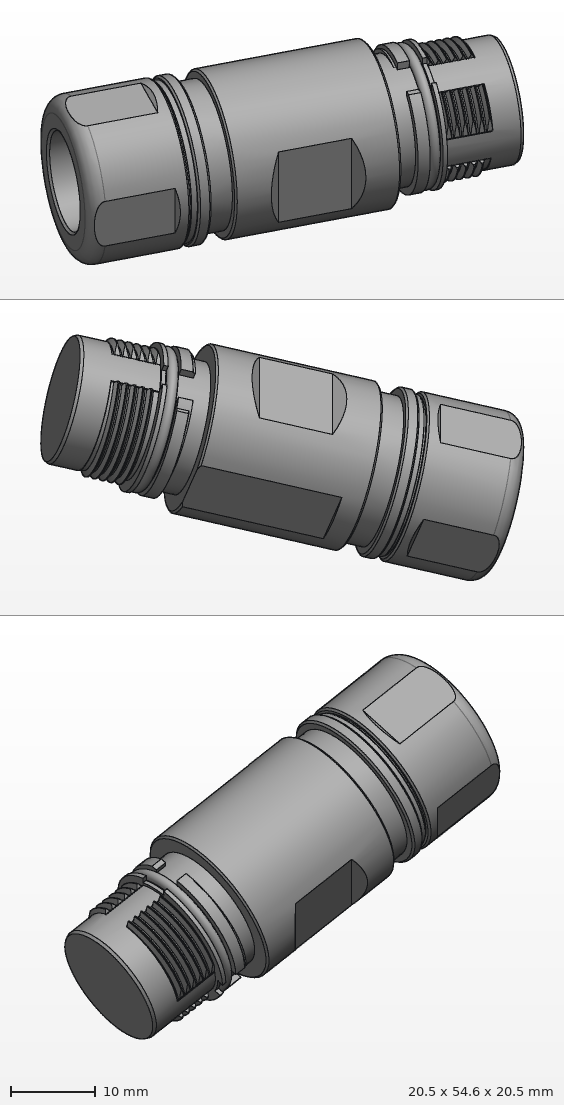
import cadquery as cq
import math

LENGTH = 54.55
OUTER_R = 10.25

NUT_END = 12.45
NUT_ROUND = 2.0
NUT_FLAT_HALF_WIDTH = 3.2
NUT_FLAT_END = 10.65
NUT_FLAT_COUNT = 4
BORE_R = 6.1
BORE_CHAMFER = 0.3
BORE_DEPTH = 4.0

GAP_R = 9.65
GAP_END = 12.7
GROOVE_R = 9.8
COLLAR_START = 13.4
COLLAR_END = 15.05
NECK_R = 9.15
EDGE_BREAK = 0.25

BODY_START = 17.95
BODY_END = 38.55
WRENCH_HALF_WIDTH = 5.05
WRENCH_START = 23.75
WRENCH_END = 32.8
UNDERSIDE_Z = -9.6
UNDERSIDE_START = 20.9

SHOULDER_R = 8.05
RIM_R = 9.02
FLANGE_SLOT_FLOOR_R = 8.2
LIP_R = 8.15
LIP_OFFSET_X = -0.75
LIP_START = 40.7
BAND_START = 41.0
BAND_END = 42.5
BAND_SIDE_LEAD_X = -7.3
BAND_TOP_LEAD_Z = 7.2
FLANGE_START = 44.1
FLANGE_END = 44.65
ORING_Y = (BAND_END + FLANGE_START) / 2
ORING_TUBE_R = 0.7
ORING_RING_R = 8.15
BARREL_R = 7.8
TIP_CHAMFER_LENGTH = 0.4
TIP_CHAMFER_DEPTH = 0.2

THREAD_START = FLANGE_END
THREAD_END = 50.6
THREAD_PITCH = 1.02
THREAD_CREST_R = 8.33
THREAD_ROOT_R = 7.65
THREAD_OVERLAP = 0.1
THREAD_BASE_HALF_WIDTH = 0.47
THREAD_CREST_HALF_WIDTH = 0.06
THREAD_FIRST_CREST_AT_TOP = 45.05
THREAD_SIDE_X = 7.65

TOP_SLOT_X = (1.16, 4.7)
SIDE_SLOT_LOW_Z = -2.74
RIM_SIDE_SLOT_HIGH_Z = 0.0
THREAD_SIDE_SLOT_HIGH_Z = 1.35
BAND_SIDE_SLOT_LOW_Z = -3.7

CLEAR = 2 * OUTER_R
CUTTER_MARGIN = 1.0
LEAD_MARGIN = 0.25


def box(x_range, y_range, z_range):
    """Axis-aligned box given by its (low, high) limits."""
    size = [high - low for low, high in (x_range, y_range, z_range)]
    corner = (x_range[0], y_range[0], z_range[0])
    return cq.Workplane("XY").box(*size, centered=False).translate(corner)


def cylinder(radius, y_low, y_high):
    """Cylinder about the Y axis."""
    plane = cq.Workplane("XZ", origin=(0, y_high, 0))
    return plane.circle(radius).extrude(y_high - y_low)


def cone(low_radius, high_radius, y_low, y_high):
    """Truncated cone about the Y axis."""
    base = cq.Vector(0, y_low, 0)
    solid = cq.Solid.makeCone(low_radius, high_radius, y_high - y_low, base, cq.Vector(0, 1, 0))
    return cq.Workplane(solid)


def ring(outer_radius, inner_radius, y_low, y_high):
    """Tube about the Y axis."""
    return cylinder(outer_radius, y_low, y_high).cut(cylinder(inner_radius, y_low, y_high))


def flat_distance(radius, half_width):
    """Distance from the axis of a flat with the given half width on a cylinder."""
    return math.sqrt(radius**2 - half_width**2)


def flat_cutter(distance, y_low, y_high, ramp_low, ramp_high):
    """Cutter for a flat facing +X, with an optional 45 degree ramp at either end."""
    reach = OUTER_R + CUTTER_MARGIN
    rise = reach - distance
    low_outer = y_low - rise if ramp_low else y_low
    high_outer = y_high + rise if ramp_high else y_high
    profile = [(distance, y_low), (reach, low_outer), (reach, high_outer), (distance, y_high)]
    return cq.Workplane("XY").polyline(profile).close().extrude(OUTER_R, both=True)


def about_axis(shape, angle):
    """Turn a shape about the Y axis."""
    return shape.rotate((0, 0, 0), (0, 1, 0), angle)


def make_nut():
    nut = cylinder(OUTER_R, 0, NUT_END)
    nut = nut.faces("<Y").edges().fillet(NUT_ROUND)
    nut = nut.faces(">Y").edges().chamfer(EDGE_BREAK)
    distance = flat_distance(OUTER_R, NUT_FLAT_HALF_WIDTH)
    cutter = flat_cutter(distance, -CUTTER_MARGIN, NUT_FLAT_END, False, True)
    for index in range(NUT_FLAT_COUNT):
        nut = nut.cut(about_axis(cutter, index * 360 / NUT_FLAT_COUNT))
    return nut


def make_collar():
    gap_floor = cylinder(GAP_R, NUT_END, GAP_END)
    groove_floor = cylinder(GROOVE_R, GAP_END, COLLAR_START)
    collar = cylinder(OUTER_R, COLLAR_START, COLLAR_END).edges().chamfer(EDGE_BREAK)
    neck = cylinder(NECK_R, COLLAR_END, BODY_START)
    return gap_floor.union(groove_floor).union(collar).union(neck)


def make_body():
    body = cylinder(OUTER_R, BODY_START, BODY_END).edges().chamfer(EDGE_BREAK)
    distance = flat_distance(OUTER_R, WRENCH_HALF_WIDTH)
    cutter = flat_cutter(distance, WRENCH_START, WRENCH_END, True, True)
    for angle in (0, 180):
        body = body.cut(about_axis(cutter, angle))
    underside = box((-CLEAR, CLEAR), (UNDERSIDE_START, BODY_END), (-CLEAR, UNDERSIDE_Z))
    return body.cut(underside)


def top_slot(y_low, y_high):
    return box(TOP_SLOT_X, (y_low, y_high), (0, CLEAR))


def side_slot(y_low, y_high, z_low, z_high):
    return box((-CLEAR, 0), (y_low, y_high), (z_low, z_high))


def cut_lead_ins(band):
    """Flat lead-ins on the band just past the side slot and the top slot."""
    side_end_z = -flat_distance(RIM_R, BAND_SIDE_LEAD_X) - LEAD_MARGIN
    top_end_x = flat_distance(RIM_R, BAND_TOP_LEAD_Z) + LEAD_MARGIN
    y_range = (BAND_START, BAND_END)
    band = band.cut(box((-CLEAR, BAND_SIDE_LEAD_X), y_range, (side_end_z, BAND_SIDE_SLOT_LOW_Z)))
    return band.cut(box((TOP_SLOT_X[1], top_end_x), y_range, (BAND_TOP_LEAD_Z, CLEAR)))


def make_rims():
    """Flange and lipped band, both interrupted by the lengthwise slots."""
    flange = ring(RIM_R, SHOULDER_R, FLANGE_START, FLANGE_END)
    flange = flange.cut(top_slot(FLANGE_START, FLANGE_END))
    flange = flange.cut(side_slot(FLANGE_START, FLANGE_END, SIDE_SLOT_LOW_Z, RIM_SIDE_SLOT_HIGH_Z))
    flange = flange.union(cylinder(FLANGE_SLOT_FLOOR_R, FLANGE_START, FLANGE_END))
    band = cut_lead_ins(ring(RIM_R, SHOULDER_R, BAND_START, BAND_END))
    lip = cylinder(LIP_R, LIP_START, BAND_END).translate((LIP_OFFSET_X, 0, 0))
    lip = lip.cut(cylinder(SHOULDER_R, LIP_START, BAND_END))
    band = band.union(lip)
    band = band.cut(top_slot(LIP_START, BAND_END))
    band = band.cut(side_slot(LIP_START, BAND_END, BAND_SIDE_SLOT_LOW_Z, RIM_SIDE_SLOT_HIGH_Z))
    return flange.union(band)


def make_oring():
    profile = cq.Workplane("XY").center(-ORING_RING_R, ORING_Y).circle(ORING_TUBE_R)
    return profile.revolve(360, (ORING_RING_R, 0), (ORING_RING_R, 1))


def make_thread_sectors():
    """Annular sectors that hold the interrupted thread."""
    sectors = ring(THREAD_CREST_R, THREAD_ROOT_R, THREAD_START, THREAD_END)
    sectors = sectors.cut(top_slot(THREAD_START, THREAD_END))
    slot_z = (SIDE_SLOT_LOW_Z, THREAD_SIDE_SLOT_HIGH_Z)
    return sectors.cut(box((-CLEAR, CLEAR), (THREAD_START, THREAD_END), slot_z))


def thread_pads():
    """(start, end) angles in degrees of the threaded pads, from +X towards +Z."""
    low_x, high_x = TOP_SLOT_X
    right_start = math.degrees(math.asin(THREAD_SIDE_SLOT_HIGH_Z / THREAD_ROOT_R))
    right_end = math.degrees(math.acos(high_x / THREAD_ROOT_R))
    left_start = math.degrees(math.acos(low_x / THREAD_ROOT_R))
    under_start = 180 - math.degrees(math.asin(SIDE_SLOT_LOW_Z / THREAD_ROOT_R))
    return [
        (right_start, right_end),
        (left_start, 180 - right_start),
        (under_start, 540 - under_start),
    ]


def make_ridge(start_angle, end_angle):
    """One right-hand helical ridge across a pad, beginning at Y = 0 on its end angle."""
    sunk_root = THREAD_ROOT_R - THREAD_OVERLAP
    rise = THREAD_PITCH * (end_angle - start_angle) / 360
    helix = cq.Wire.makeHelix(THREAD_PITCH, rise, sunk_root)
    profile = [
        (sunk_root, -THREAD_BASE_HALF_WIDTH),
        (THREAD_CREST_R, -THREAD_CREST_HALF_WIDTH),
        (THREAD_CREST_R, THREAD_CREST_HALF_WIDTH),
        (sunk_root, THREAD_BASE_HALF_WIDTH),
    ]
    ridge = cq.Workplane("XZ").polyline(profile).close().sweep(cq.Workplane(helix), isFrenet=True)
    ridge = ridge.rotate((0, 0, 0), (1, 0, 0), -90)
    return about_axis(ridge, -end_angle)


def add_thread(barrel):
    """Add every ridge whose middle lies fully within the threaded length."""
    side_limit = (-THREAD_SIDE_X, THREAD_SIDE_X)
    clip = box(side_limit, (-CLEAR, CLEAR), (-CLEAR, CLEAR))
    lowest = THREAD_START + THREAD_BASE_HALF_WIDTH / 2
    highest = THREAD_END - THREAD_BASE_HALF_WIDTH / 2
    turns = math.ceil((THREAD_END - THREAD_START) / THREAD_PITCH)
    for start_angle, end_angle in thread_pads():
        ridge = make_ridge(start_angle, end_angle).intersect(clip)
        half_rise = THREAD_PITCH * (end_angle - start_angle) / 720
        phase = THREAD_PITCH * (90 - end_angle) / 360
        for turn in range(-1, turns + 1):
            station = THREAD_FIRST_CREST_AT_TOP + phase + turn * THREAD_PITCH
            if lowest <= station + half_rise <= highest:
                barrel = barrel.union(ridge.translate((0, station, 0)), clean=False)
    return barrel


def make_plug_end():
    shoulder = cylinder(SHOULDER_R, BODY_END, FLANGE_END)
    barrel = cylinder(BARREL_R, FLANGE_END, LENGTH - TIP_CHAMFER_LENGTH)
    tip = cone(BARREL_R, BARREL_R - TIP_CHAMFER_DEPTH, LENGTH - TIP_CHAMFER_LENGTH, LENGTH)
    barrel = barrel.union(tip)
    barrel = barrel.cut(make_thread_sectors())
    plug = barrel.union(shoulder).union(make_rims()).union(make_oring())
    return add_thread(plug)


def cut_cable_bore(part):
    part = part.cut(cylinder(BORE_R, 0, BORE_DEPTH))
    return part.cut(cone(BORE_R + BORE_CHAMFER, BORE_R, 0, BORE_CHAMFER))


cable_end = make_nut().union(make_collar()).union(make_body())
result = cut_cable_bore(cable_end).union(make_plug_end(), clean=False)